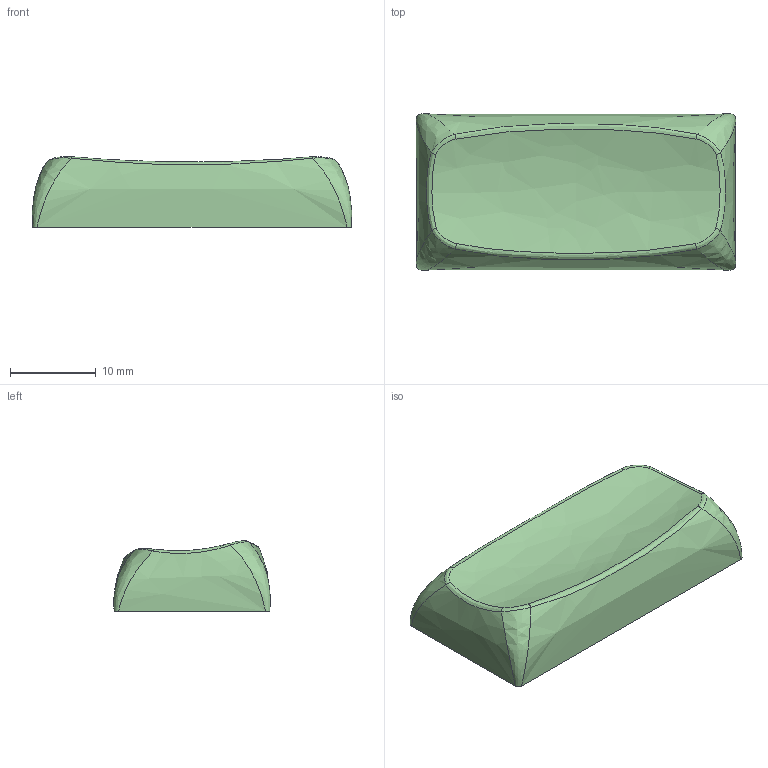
import cadquery as cq

key_pitch = 19.05
key_units = 2
base_width = 18.2
base_length = key_pitch * (key_units - 1) + base_width

loft_height = 9.0
tilt = -5.0
mid_fraction = 0.25

top_inset = 5.2
top_length = base_length - top_inset
top_width = base_width - top_inset
side_bow = 1.7

base_corner_radius = 0.5
top_corner_radius = 4.0
mid_corner_radius = (top_corner_radius - base_corner_radius) / 3

dish_span_change = 2.0
dish_end_half_span = base_width / 2 - dish_span_change
dish_end_depth = 1.6
dish_middle_half_span = base_width / 2 + dish_span_change
dish_middle_depth = 3.0
dish_middle_drop = 0.5

rim_radius = 0.6


def rounded_rectangle(corner_radius):
    """Section with the full footprint of the key."""
    return cq.Sketch().rect(base_length, base_width).vertices().fillet(corner_radius)


def bowed_rectangle():
    """Top section: four outward arcs with rounded corners."""
    half_length = top_length / 2
    half_width = top_width / 2
    corner_x = half_length - side_bow
    corner_y = half_width - side_bow
    return (
        cq.Sketch()
        .arc((-corner_x, -corner_y), (-half_length, 0), (-corner_x, corner_y))
        .arc((-corner_x, corner_y), (0, half_width), (corner_x, corner_y))
        .arc((corner_x, corner_y), (half_length, 0), (corner_x, -corner_y))
        .arc((corner_x, -corner_y), (0, -half_width), (-corner_x, -corner_y))
        .assemble()
        .vertices()
        .fillet(top_corner_radius)
    )


def raised(section, fraction):
    """Lift and tilt a section by a fraction of the loft height and tilt."""
    lift = cq.Vector(0, 0, loft_height * fraction)
    return section.moved(cq.Location(lift, cq.Vector(1, 0, 0), tilt * fraction))


def make_body():
    sections = [
        rounded_rectangle(base_corner_radius),
        raised(rounded_rectangle(mid_corner_radius), mid_fraction),
        raised(bowed_rectangle(), 1),
    ]
    outlines = [section.reset().faces().val().outerWire() for section in sections]
    return cq.Workplane("XY").add(cq.Solid.makeLoft(outlines))


def dish_section(x, half_span, edge_height, depth):
    """Closed outline across the key: the dish arc below, straight sides above the part."""
    return (
        cq.Workplane("YZ")
        .transformed(offset=(0, loft_height, x), rotate=(0, 0, tilt))
        .moveTo(-half_span, edge_height)
        .threePointArc((0, -depth), (half_span, edge_height))
        .lineTo(base_width / 2, loft_height)
        .lineTo(-base_width / 2, loft_height)
        .close()
        .val()
    )


def make_dish():
    outlines = [
        dish_section(-base_length / 2, dish_end_half_span, 0, dish_end_depth),
        dish_section(0, dish_middle_half_span, -dish_middle_drop, dish_middle_depth),
        dish_section(base_length / 2, dish_end_half_span, 0, dish_end_depth),
    ]
    return cq.Workplane("XY").add(cq.Solid.makeLoft(outlines))


def round_rim(keycap):
    dish_face = cq.selectors.NearestToPointSelector((0, 0, loft_height))
    return keycap.faces(dish_face).edges().fillet(rim_radius)


result = round_rim(make_body().cut(make_dish())).solids()